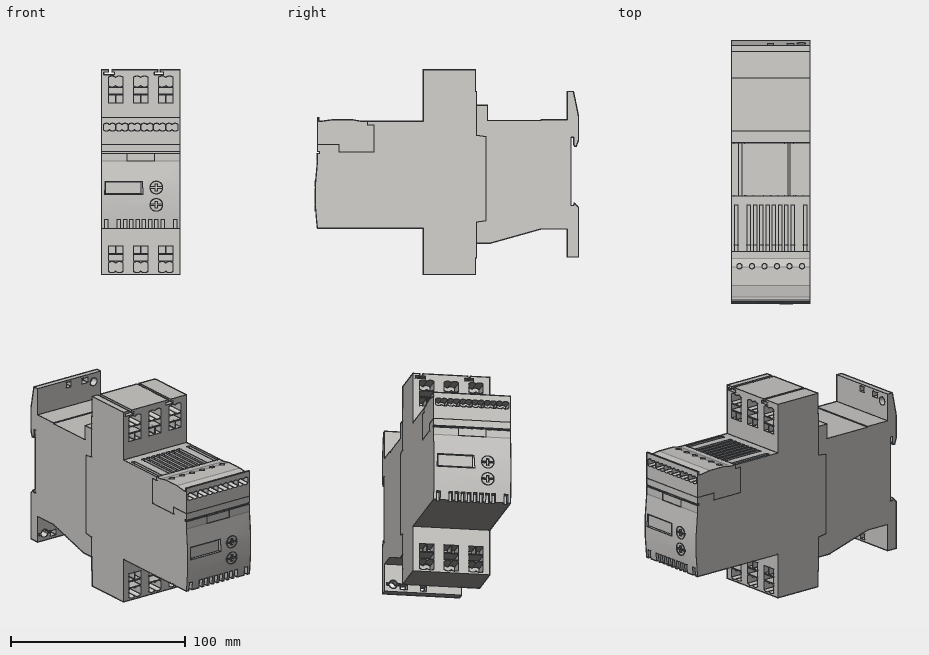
import cadquery as cq


WIDTH = 45.0
DEPTH = 150.8
HEIGHT = 117.2

SHOULDER_FRONT = 61.8
SHOULDER_BACK = 92.0
NOSE_TOP = 87.8
NOSE_BOTTOM = 26.4
NOSE_FRONT = 1.4
BULGE_FRONT = 0.2
BULGE_TOP = 64.8
PAD_BOTTOM = 9.4
PAD_TOP = 104.8
PAD_THICKNESS = 0.5
PAD_BACK = SHOULDER_BACK + PAD_THICKNESS
TONGUE_BACK = 97.9
TONGUE_BOTTOM = 30.8
TONGUE_TOP = 78.9
TONGUE_FLARE = 0.8
GROOVE_DEPTH = 1.2
GROOVE_BOTTOM = 69.4
GROOVE_TOP = 70.3

SEAT_BACK = 33.8
SEAT_FLOOR = 70.1
SEAT_LIP_BACK = 30.0
SEAT_LIP_FLOOR = 85.5
SEAT_STEP_BACK = 13.7
SEAT_STEP_FLOOR = 74.3

TERMINAL_PITCH = 14.3
TERMINAL_WIDTH = 8.5
TERMINAL_DEPTH = 12.0
TOP_TERMINAL_END = 113.5
BOTTOM_TERMINAL_END = 1.0
ENTRY_RADIUS = 3.2
ENTRY_WALL = 0.3
LATCH_HEIGHT = 3.6
LATCH_WALL = 0.6
TEST_HEIGHT = 4.5
TEST_WALL = 0.5

T_SLOTS = [(-17.5, 1.8, -18.1, 6.0), (10.4, 1.4, 10.4, 5.1)]
T_SLOT_DEPTH = 2.9
T_FOOT_FLOOR = HEIGHT - T_SLOT_DEPTH
T_FOOT_HEIGHT = 1.5

VENT_PITCH = TERMINAL_PITCH / 4
VENT_STEPS = [-5.5, -3.5, -2.5, -1.5, -0.5, 0.5, 1.5, 2.5, 3.5, 5.5]
VENT_WIDTH = 2.1
VENT_DEPTH = 3.0
VENT_BACK = 56.5
FRONT_VENT_HEIGHT = 5.0

PLATE_WIDTH = 16.0
PLATE_THICKNESS = 0.3
DISPLAY_LEFT = -20.7
DISPLAY_RIGHT = 1.4
DISPLAY_BOTTOM = 45.7
DISPLAY_TOP = 53.5
DISPLAY_DEPTH = 0.6
DISPLAY_RIM = 0.6
DISPLAY_SIDE_RIM = 1.4
DIAL_X = 8.9
DIAL_HEIGHTS = [39.8, 49.8]
DIAL_RADIUS = 3.6
DIAL_LONG_SLOT_WIDTH = 0.9
DIAL_SHORT_SLOT_WIDTH = 1.4
DIAL_SHORT_SLOT_LENGTH = 3.8
DIAL_SLOT_DEPTH = 1.5

CONNECTOR_PITCH = TERMINAL_PITCH / 2
CONNECTOR_WAYS = 6
CREST_HEIGHT = 88.7
CREST_BACK = 21.1
CREST_FRONT = 10.5
RAMP_BACK = 26.1
RAMP_FRONT = 3.9
RIDGE_BACK = 2.3
RIDGE_TOP = 89.9
SOCKET_HEIGHT = 84.3
SOCKET_RADIUS = 2.3
SOCKET_WIDTH = 7.0
SOCKET_DEPTH = 9.0
SCREW_HOLE_Y = 21.5
SCREW_HOLE_DIAMETER = 3.0
SCREW_HOLE_DEPTH = 6.0

FLANGE_FRONT = 144.3
FLANGE_TOP = 104.8
FLANGE_BOTTOM = 10.0
FLANGE_TAPER_START = 90.8
HOOK_BACK = 148.0
HOOK_SIDE_BOTTOM = 76.9
HOOK_TIP = 73.3
HOOK_TIP_BACK = 149.6
HOOK_TIP_FRONT = 148.5
HOOK_INNER_BOTTOM = 74.7
RAIL_SEAT = 146.6
RAIL_TOP = 78.4
RAIL_BOTTOM = 39.5
CATCH_TIP = 41.0
CATCH_TIP_Y = 148.4
CATCH_RAMP_BOTTOM = 38.5
BLOCK_FRONT = 98.8
BLOCK_TOP = 97.0
SHELF_HEIGHT = 88.2
SHELF_STEP = 129.2
SHELF_STEP_HEIGHT = 88.7
HEEL_HEIGHT = 26.0
SLOPE_FRONT = 100.1
UNDERSIDE = 17.8
FLANGE_WINDOWS = [(-0.2, 2.9, 3.3, 3.3), (11.3, 3.2, 4.0, 3.3)]
FLANGE_HOLE_X = 17.5
TOP_HOLE_INSET = 5.5
BOTTOM_HOLE_INSET = 4.4
FLANGE_HOLE_DIAMETER = 4.8
KEY_SLOT_LENGTH = 7.8
KEY_SLOT_HEIGHT = 1.4


def block(x_range, y_range, z_range):
    """Rectangular block between the given pairs of limits."""
    corner = (x_range[0], y_range[0], z_range[0])
    size = (x_range[1] - x_range[0], y_range[1] - y_range[0], z_range[1] - z_range[0])
    return cq.Workplane("XY").box(*size, centered=False).translate(corner)


def full_width(outline):
    """Extrude a closed side outline, drawn in Y and Z, over the whole width."""
    return outline.close().extrude(WIDTH / 2, both=True)


def facing_front(front):
    """Work plane in X and Z; a negative extrusion goes towards the back."""
    return cq.Workplane("XZ", origin=(0, front, 0))


def centred(middle, width):
    """Limits of a span with the given middle and width."""
    return middle - width / 2, middle + width / 2


def lobed_opening(middle_x, middle_z, width, radius, front, depth):
    """Two side-by-side round bores, trimmed flat at both sides to the given width."""
    left_bore = facing_front(front).center(middle_x - width / 4, middle_z).circle(radius).extrude(-depth)
    right_bore = left_bore.translate((width / 2, 0, 0))
    trim = block(centred(middle_x, width), (front, front + depth), centred(middle_z, 2 * radius))
    return left_bore.union(right_bore).intersect(trim)


def housing_outline():
    return (
        cq.Workplane("YZ")
        .moveTo(SHOULDER_BACK, 0)
        .lineTo(SHOULDER_FRONT, 0)
        .lineTo(SHOULDER_FRONT, NOSE_BOTTOM)
        .lineTo(NOSE_FRONT, NOSE_BOTTOM)
        .threePointArc((BULGE_FRONT, (NOSE_BOTTOM + BULGE_TOP) / 2), (NOSE_FRONT, BULGE_TOP))
        .lineTo(NOSE_FRONT, SEAT_STEP_FLOOR)
        .lineTo(SEAT_STEP_BACK, SEAT_STEP_FLOOR)
        .lineTo(SEAT_STEP_BACK, SEAT_FLOOR)
        .lineTo(SEAT_BACK, SEAT_FLOOR)
        .lineTo(SEAT_BACK, SEAT_LIP_FLOOR)
        .lineTo(SEAT_LIP_BACK, SEAT_LIP_FLOOR)
        .lineTo(SEAT_LIP_BACK, NOSE_TOP)
        .lineTo(SHOULDER_FRONT, NOSE_TOP)
        .lineTo(SHOULDER_FRONT, HEIGHT)
        .lineTo(SHOULDER_BACK, HEIGHT)
        .lineTo(SHOULDER_BACK, PAD_TOP)
        .lineTo(PAD_BACK, PAD_TOP)
        .lineTo(PAD_BACK, TONGUE_TOP + TONGUE_FLARE)
        .lineTo(TONGUE_BACK, TONGUE_TOP)
        .lineTo(TONGUE_BACK, TONGUE_BOTTOM)
        .lineTo(PAD_BACK, TONGUE_BOTTOM - TONGUE_FLARE)
        .lineTo(PAD_BACK, PAD_BOTTOM)
        .lineTo(SHOULDER_BACK, PAD_BOTTOM)
    )


def cut_terminal(body, middle, end, direction):
    """Cut one terminal: a two-lobed entry, a latch opening and two test openings."""
    depth = (SHOULDER_FRONT, SHOULDER_FRONT + TERMINAL_DEPTH)
    left, right = centred(middle, TERMINAL_WIDTH)
    entry_middle = end + direction * ENTRY_RADIUS
    latch_outer = entry_middle + direction * (ENTRY_RADIUS + ENTRY_WALL)
    latch_inner = latch_outer + direction * LATCH_HEIGHT
    test_outer = latch_inner + direction * LATCH_WALL
    test_inner = test_outer + direction * TEST_HEIGHT

    entry = lobed_opening(middle, entry_middle, TERMINAL_WIDTH, ENTRY_RADIUS, SHOULDER_FRONT, TERMINAL_DEPTH)
    body = body.cut(entry)
    body = body.cut(block((left, right), depth, sorted((latch_outer, latch_inner))))
    for test_span in [(left, middle - TEST_WALL / 2), (middle + TEST_WALL / 2, right)]:
        body = body.cut(block(test_span, depth, sorted((test_outer, test_inner))))
    return body


def cut_t_slots(body):
    length = (SHOULDER_FRONT, PAD_BACK)
    for neck_middle, neck_width, foot_middle, foot_width in T_SLOTS:
        foot_z = (T_FOOT_FLOOR, T_FOOT_FLOOR + T_FOOT_HEIGHT)
        body = body.cut(block(centred(neck_middle, neck_width), length, (T_FOOT_FLOOR, HEIGHT)))
        body = body.cut(block(centred(foot_middle, foot_width), length, foot_z))
    return body


def cut_vents(body):
    """Slots in the top of the nose, and short ones in the lower front edge below them."""
    top_y = (SEAT_LIP_BACK, VENT_BACK)
    top_z = (NOSE_TOP - VENT_DEPTH, NOSE_TOP)
    front_y = (0, NOSE_FRONT + VENT_DEPTH)
    front_z = (NOSE_BOTTOM, NOSE_BOTTOM + FRONT_VENT_HEIGHT)
    for step in VENT_STEPS:
        span = centred(step * VENT_PITCH, VENT_WIDTH)
        body = body.cut(block(span, top_y, top_z))
        body = body.cut(block(span, front_y, front_z))
    return body


def cut_display(body):
    """Shallow display window with sloping sides, the right side sloping the least steeply."""
    width = DISPLAY_RIGHT - DISPLAY_LEFT
    height = DISPLAY_TOP - DISPLAY_BOTTOM
    floor_width = width - DISPLAY_RIM - DISPLAY_SIDE_RIM
    floor_shift = (DISPLAY_RIM - DISPLAY_SIDE_RIM) / 2
    window = (
        facing_front(BULGE_FRONT)
        .center((DISPLAY_LEFT + DISPLAY_RIGHT) / 2, (DISPLAY_BOTTOM + DISPLAY_TOP) / 2)
        .rect(width, height)
        .workplane(offset=-DISPLAY_DEPTH)
        .center(floor_shift, 0)
        .rect(floor_width, height - 2 * DISPLAY_RIM)
        .loft(ruled=True)
    )
    return body.cut(window)


def add_dial(body, height):
    """Round setting dial, just proud of the bulged front, with a crossed screwdriver slot."""
    dial = facing_front(0).center(DIAL_X, height).circle(DIAL_RADIUS).extrude(-NOSE_FRONT)
    depth = (0, DIAL_SLOT_DEPTH)
    across = block(centred(DIAL_X, 2 * DIAL_RADIUS), depth, centred(height, DIAL_LONG_SLOT_WIDTH))
    upright = block(centred(DIAL_X, DIAL_SHORT_SLOT_WIDTH), depth, centred(height, DIAL_SHORT_SLOT_LENGTH))
    return body.union(dial).cut(across).cut(upright)


def make_housing():
    body = full_width(housing_outline())
    groove_y = (NOSE_FRONT, NOSE_FRONT + GROOVE_DEPTH)
    body = body.cut(block(centred(0, WIDTH), groove_y, (GROOVE_BOTTOM, GROOVE_TOP)))
    for column in (-1, 0, 1):
        body = cut_terminal(body, column * TERMINAL_PITCH, TOP_TERMINAL_END, -1)
        body = cut_terminal(body, column * TERMINAL_PITCH, BOTTOM_TERMINAL_END, 1)
    body = cut_t_slots(body)
    body = cut_vents(body)
    plate_y = (NOSE_FRONT - PLATE_THICKNESS, NOSE_FRONT)
    body = body.union(block(centred(0, PLATE_WIDTH), plate_y, (BULGE_TOP, GROOVE_BOTTOM)))
    body = cut_display(body)
    for height in DIAL_HEIGHTS:
        body = add_dial(body, height)
    return body


def connector_outline():
    return (
        cq.Workplane("YZ")
        .moveTo(SEAT_LIP_BACK, NOSE_TOP)
        .lineTo(RAMP_BACK, NOSE_TOP)
        .lineTo(CREST_BACK, CREST_HEIGHT)
        .lineTo(CREST_FRONT, CREST_HEIGHT)
        .lineTo(RAMP_FRONT, NOSE_TOP)
        .lineTo(RIDGE_BACK, NOSE_TOP)
        .lineTo(RIDGE_BACK, RIDGE_TOP)
        .lineTo(NOSE_FRONT, RIDGE_TOP)
        .lineTo(NOSE_FRONT, SEAT_STEP_FLOOR)
        .lineTo(SEAT_STEP_BACK, SEAT_STEP_FLOOR)
        .lineTo(SEAT_STEP_BACK, SEAT_FLOOR)
        .lineTo(SEAT_BACK, SEAT_FLOOR)
        .lineTo(SEAT_BACK, SEAT_LIP_FLOOR)
        .lineTo(SEAT_LIP_BACK, SEAT_LIP_FLOOR)
    )


def make_connector():
    body = full_width(connector_outline())
    for way in range(CONNECTOR_WAYS):
        middle = (way - (CONNECTOR_WAYS - 1) / 2) * CONNECTOR_PITCH
        socket = lobed_opening(middle, SOCKET_HEIGHT, SOCKET_WIDTH, SOCKET_RADIUS, NOSE_FRONT, SOCKET_DEPTH)
        body = body.cut(socket)
        screw_hole = cq.Workplane("XY", origin=(middle, SCREW_HOLE_Y, CREST_HEIGHT))
        body = body.cut(screw_hole.circle(SCREW_HOLE_DIAMETER / 2).extrude(-SCREW_HOLE_DEPTH))
    return body


def base_outline():
    return (
        cq.Workplane("YZ")
        .moveTo(PAD_BACK, BLOCK_TOP)
        .lineTo(BLOCK_FRONT, BLOCK_TOP)
        .lineTo(BLOCK_FRONT, SHELF_HEIGHT)
        .lineTo(SHELF_STEP, SHELF_HEIGHT)
        .lineTo(SHELF_STEP, SHELF_STEP_HEIGHT)
        .lineTo(FLANGE_FRONT, SHELF_STEP_HEIGHT)
        .lineTo(FLANGE_FRONT, FLANGE_TOP)
        .lineTo(HOOK_BACK, FLANGE_TOP)
        .lineTo(DEPTH, FLANGE_TAPER_START)
        .lineTo(DEPTH, HOOK_SIDE_BOTTOM)
        .lineTo(HOOK_TIP_BACK, HOOK_TIP)
        .lineTo(HOOK_TIP_FRONT, HOOK_TIP)
        .lineTo(HOOK_BACK, HOOK_INNER_BOTTOM)
        .lineTo(HOOK_BACK, RAIL_TOP)
        .lineTo(RAIL_SEAT, RAIL_TOP)
        .lineTo(RAIL_SEAT, RAIL_BOTTOM)
        .lineTo(HOOK_BACK, RAIL_BOTTOM)
        .lineTo(CATCH_TIP_Y, CATCH_TIP)
        .lineTo(DEPTH, CATCH_RAMP_BOTTOM)
        .lineTo(DEPTH, FLANGE_BOTTOM)
        .lineTo(FLANGE_FRONT, FLANGE_BOTTOM)
        .lineTo(FLANGE_FRONT, HEEL_HEIGHT)
        .lineTo(SHELF_STEP, HEEL_HEIGHT)
        .lineTo(SLOPE_FRONT, UNDERSIDE)
        .lineTo(PAD_BACK, UNDERSIDE)
        .lineTo(PAD_BACK, TONGUE_BOTTOM - TONGUE_FLARE)
        .lineTo(TONGUE_BACK, TONGUE_BOTTOM)
        .lineTo(TONGUE_BACK, TONGUE_TOP)
        .lineTo(PAD_BACK, TONGUE_TOP + TONGUE_FLARE)
    )


def cut_flange_openings(body, end, direction, hole_inset):
    """Fixing hole and windows through a flange; the sides swap over between the flanges."""
    depth = (FLANGE_FRONT, DEPTH)
    for offset, inset, width, height in FLANGE_WINDOWS:
        middle_z = end + direction * inset
        window = block(centred(-direction * offset, width), depth, centred(middle_z, height))
        body = body.cut(window)
    hole = facing_front(FLANGE_FRONT).center(-direction * FLANGE_HOLE_X, end + direction * hole_inset)
    return body.cut(hole.circle(FLANGE_HOLE_DIAMETER / 2).extrude(FLANGE_FRONT - DEPTH))


def cut_key_slot(body):
    """Narrow slot across the fixing hole of the lower flange."""
    span = centred(-FLANGE_HOLE_X, KEY_SLOT_LENGTH)
    height = centred(FLANGE_BOTTOM + BOTTOM_HOLE_INSET, KEY_SLOT_HEIGHT)
    return body.cut(block(span, (FLANGE_FRONT, DEPTH), height))


def make_base():
    body = full_width(base_outline())
    body = cut_flange_openings(body, FLANGE_TOP, -1, TOP_HOLE_INSET)
    body = cut_flange_openings(body, FLANGE_BOTTOM, 1, BOTTOM_HOLE_INSET)
    return cut_key_slot(body)


housing = make_housing()
connector = make_connector()
base = make_base()

result = cq.Compound.makeCompound([housing.val(), connector.val(), base.val()])